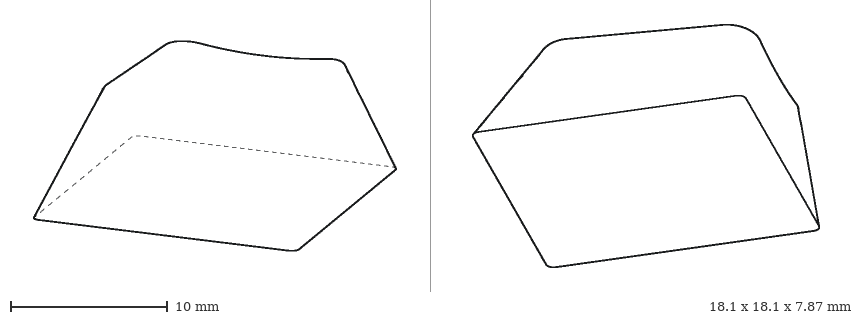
import cadquery as cq
import math

base_side = 18.1
base_corner_radius = 0.5

top_width = 11.91
top_front_y = -5.47
top_back_y = 8.8
top_corner_radius = 2.17
top_center_height = 7.75
top_tilt = 3.3

dish_radius = 30.77
dish_depth = 0.72
dish_length = 2 * base_side

rim_fillet = 0.5

tilt = math.radians(top_tilt)
top_center_y = (top_front_y + top_back_y) / 2
top_length = (top_back_y - top_front_y) / math.cos(tilt)
top_plane = cq.Plane(
    origin=(0, top_center_y, top_center_height),
    xDir=(1, 0, 0),
    normal=(0, math.sin(tilt), math.cos(tilt)),
)


def rounded_rectangle(plane, width, length, radius):
    """Closed outline centred on the plane origin, starting at its front left corner."""
    half_x = width / 2
    half_y = length / 2
    straight_x = half_x - radius
    straight_y = half_y - radius
    arc_offset = radius * math.sqrt(0.5)
    mid_x = straight_x + arc_offset
    mid_y = straight_y + arc_offset
    return (
        cq.Workplane(plane)
        .moveTo(-straight_x, -half_y)
        .lineTo(straight_x, -half_y)
        .threePointArc((mid_x, -mid_y), (half_x, -straight_y))
        .lineTo(half_x, straight_y)
        .threePointArc((mid_x, mid_y), (straight_x, half_y))
        .lineTo(-straight_x, half_y)
        .threePointArc((-mid_x, mid_y), (-half_x, straight_y))
        .lineTo(-half_x, -straight_y)
        .threePointArc((-mid_x, -mid_y), (-straight_x, -half_y))
        .close()
        .val()
    )


def make_body():
    base = rounded_rectangle(cq.Plane.XY(), base_side, base_side, base_corner_radius)
    top = rounded_rectangle(top_plane, top_width, top_length, top_corner_radius)
    return cq.Workplane(cq.Solid.makeLoft([base, top], True))


def make_dish():
    """Long cylinder dipping below the top plane along its centre line."""
    axis_plane = cq.Plane(
        origin=top_plane.toWorldCoords((0, -dish_length / 2, dish_radius - dish_depth)).toTuple(),
        xDir=(1, 0, 0),
        normal=top_plane.yDir.toTuple(),
    )
    return cq.Workplane(axis_plane).circle(dish_radius).extrude(dish_length)


dished_body = make_body().cut(make_dish())
result = dished_body.faces("%CYLINDER").edges().fillet(rim_fillet)